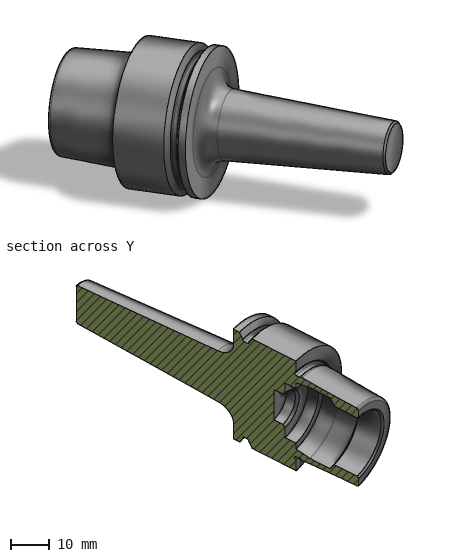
import cadquery as cq
import math

total_length = 90.0

flange_radius = 20.0
flange_front = 20.0
flange_back = 2 * flange_front

shank_end_radius = 14.2
shank_round = 0.7
shank_taper_length = 18.0
shank_land_radius = 15.1
shank_land_length = 0.5

neck_radius = 14.85
neck_start = 18.7
relief_round = 0.5
relief_depth = 0.45
relief_outer_radius = 15.8

groove_center = 36.0
groove_half_width = 2.0
groove_floor_half_width = 0.9
groove_floor_radius = 17.5
groove_flank_angle = 30.0
groove_front_round = 0.3
groove_back_round = 0.45

nose_fillet = 5.0
nose_half_angle = 3.0
nose_end_radius = 7.0
nose_chamfer = 0.5

bore_radius = 10.5
bore_chamfer = 0.5
bore_length = 7.8
chamber_radius = 12.8
shoulder_angle = 60.0
chamber_end = 15.6
chamber_taper_angle = 10.0
chamber_floor = flange_front
pilot_radius = 9.8
pilot_end = 23.4
center_hole_radius = 5.4
center_hole_chamfer = 0.7
center_hole_end = 27.0


def tangent(degrees):
    return math.tan(math.radians(degrees))


def turn(outline):
    """Close a profile of (X, radius) points that starts at the origin and turn it about X."""
    return outline.close().revolve(360, (0, 0, 0), (1, 0, 0))


def add_shank(outline):
    """Rounded end, taper, land, neck and relief, up to the flange face."""
    relief_floor = flange_front + relief_depth
    return (
        outline.lineTo(0, shank_end_radius - shank_round)
        .radiusArc((shank_round, shank_end_radius), shank_round)
        .lineTo(shank_taper_length, shank_land_radius)
        .lineTo(shank_taper_length + shank_land_length, shank_land_radius)
        .lineTo(neck_start, neck_radius)
        .lineTo(relief_floor - relief_round, neck_radius)
        .radiusArc((relief_floor, neck_radius + relief_round), -relief_round)
        .lineTo(flange_front, relief_outer_radius)
    )


def add_flange(outline):
    """Flange rim with its V groove, from the front face to the back edge."""
    front_wall = groove_center - groove_floor_half_width
    back_wall = groove_center + groove_floor_half_width
    flank_width = groove_half_width - groove_floor_half_width
    flank_end_radius = flange_radius - flank_width / tangent(groove_flank_angle)
    return (
        outline.lineTo(flange_front, flange_radius)
        .lineTo(groove_center - groove_half_width, flange_radius)
        .lineTo(front_wall, flank_end_radius)
        .lineTo(front_wall, groove_floor_radius + groove_front_round)
        .radiusArc((front_wall + groove_front_round, groove_floor_radius), -groove_front_round)
        .lineTo(back_wall - groove_back_round, groove_floor_radius)
        .radiusArc((back_wall, groove_floor_radius + groove_back_round), -groove_back_round)
        .lineTo(back_wall, flank_end_radius)
        .lineTo(groove_center + groove_half_width, flange_radius)
        .lineTo(flange_back, flange_radius)
    )


def add_nose(outline):
    """Fillet tangent to the flange back and to the cone, then the cone and its chamfered end."""
    angle = math.radians(nose_half_angle)
    cone_end = total_length - nose_chamfer
    cone_start = flange_back + nose_fillet * (1 - math.sin(angle))
    cone_start_radius = nose_end_radius + (cone_end - cone_start) * math.tan(angle)
    fillet_start_radius = cone_start_radius + nose_fillet * math.cos(angle)
    return (
        outline.lineTo(flange_back, fillet_start_radius)
        .radiusArc((cone_start, cone_start_radius), -nose_fillet)
        .lineTo(cone_end, nose_end_radius)
        .lineTo(total_length, nose_end_radius - nose_chamfer)
        .lineTo(total_length, 0)
    )


def outer_body():
    outline = cq.Workplane("XY")
    outline = add_shank(outline)
    outline = add_flange(outline)
    outline = add_nose(outline)
    return turn(outline)


def clamping_bore():
    shoulder_length = (chamber_radius - bore_radius) / tangent(shoulder_angle)
    floor_edge_radius = chamber_radius - (chamber_floor - chamber_end) * tangent(chamber_taper_angle)
    outline = (
        cq.Workplane("XY")
        .lineTo(0, bore_radius + bore_chamfer)
        .lineTo(bore_chamfer, bore_radius)
        .lineTo(bore_length, bore_radius)
        .lineTo(bore_length + shoulder_length, chamber_radius)
        .lineTo(chamber_end, chamber_radius)
        .lineTo(chamber_floor, floor_edge_radius)
        .lineTo(chamber_floor, pilot_radius)
        .lineTo(pilot_end, pilot_radius)
        .lineTo(pilot_end, center_hole_radius + center_hole_chamfer)
        .lineTo(pilot_end + center_hole_chamfer, center_hole_radius)
        .lineTo(center_hole_end, center_hole_radius)
        .lineTo(center_hole_end, 0)
    )
    return turn(outline)


result = outer_body().cut(clamping_bore())